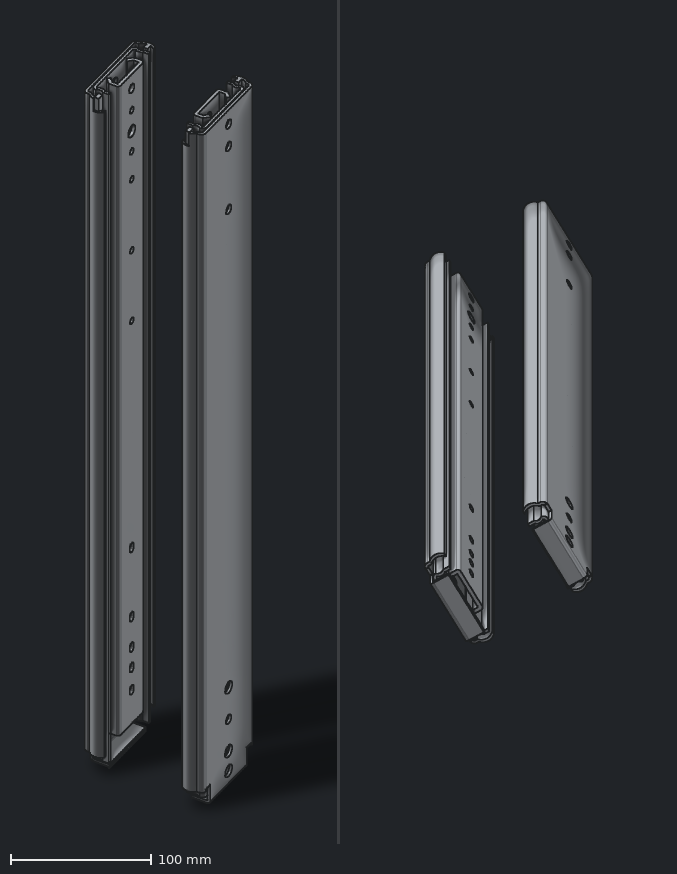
import cadquery as cq
import math

SLIDE_LENGTH = 610.0
PAIR_WIDTH = 100.0
SLIDE_HEIGHT = 76.0
SLIDE_DEPTH = 20.0
SHEET = 2.5

OUTER_FLANGE_BOTTOM = 17.0
OUTER_FLANGE_Y = 35.5
OUTER_BEND_RADIUS = 3.5
OUTER_RACE_START = 5.5
OUTER_RACE_MIDDLE = 11.5
OUTER_RACE_END = 17.5
LIP_NOTCH_START = 10.5
LIP_NOTCH_DEPTH = 11.5

STOP_WIDTH = 3.5
STOP_INNER_Y = 31.0
STOP_OUTER_Y = 36.5
STOP_HEIGHT = 14.0

TAB_WIDTH = 50.5
TAB_REACH = 16.0
TAB_BEND_RADIUS = 3.0
TAB_LIP_DROP = 1.0
TAB_LIP_LENGTH = 0.5
TAB_RELIEF_HEIGHT = 2.0

MIDDLE_BOTTOM = 7.5
MIDDLE_WEB_X = 3.0
MIDDLE_FLANGE_Y = 28.5
MIDDLE_BEND_RADIUS = 3.5
MIDDLE_TIP_X = 17.5
MIDDLE_RACE_END = 13.0
MIDDLE_RACE_DIP = 1.0
MIDDLE_NOTCH_HALF = 11.5
MIDDLE_NOTCH_TOP = 39.5

INNER_BOTTOM = 25.0
INNER_SHEET = 3.0
INNER_FACE_X = 19.5
INNER_LEG_Y = 17.5
INNER_SHOULDER = 2.5
INNER_KNEE_X = 11.0
INNER_TOE_X = 7.0
TOE_BEND = math.radians(45)

SMALL_HOLE = 5.2
MEDIUM_HOLE = 7.5
LARGE_HOLE = 10.0
TOP_HOLES = [597.0, 577.0]
OUTER_UPPER_HOLE = 520.5
MEDIUM_LOW_HOLE = 61.0
SHARED_LARGE_HOLE = 89.5
OUTER_LARGE_HOLES = [SHARED_LARGE_HOLE, 32.5, 14.5]
INNER_SMALL_HOLES = [577.5, 540.5, 515.5, 451.5, 388.0]
INNER_MEDIUM_HOLE = 597.0
INNER_SLOTS = [183.5, 121.5, 94.0, 75.5, 55.5]
INNER_SLOT_LENGTH = 8.0
INNER_LARGE_HOLE = 559.0


def symmetric_rail(half_outline, bottom):
    """Extrude the +Y half of a section from bottom to the top end and mirror it onto -Y."""
    half = half_outline.close().extrude(SLIDE_LENGTH - bottom).translate((0, 0, bottom))
    return half.union(half.mirror("XZ")).clean()


def web_holes(diameter, heights):
    """Cylinders across the whole slide depth at y = 0."""
    return (
        cq.Workplane("YZ")
        .pushPoints([(0, z) for z in heights])
        .circle(diameter / 2)
        .extrude(SLIDE_DEPTH)
    )


def web_slots(width, length, heights):
    """Upright round-ended slots across the whole slide depth at y = 0."""
    return (
        cq.Workplane("YZ")
        .pushPoints([(0, z) for z in heights])
        .slot2D(length, width, 90)
        .extrude(SLIDE_DEPTH)
    )


def box_between(low, high):
    """Axis-aligned box between two opposite corners."""
    size = [b - a for a, b in zip(low, high)]
    return cq.Workplane("XY").box(*size, centered=False).translate(low)


def end_tab():
    """Lower web extension and floor with a small drooping lip, as one bent strip."""
    floor = TAB_LIP_DROP
    top = OUTER_FLANGE_BOTTOM + TAB_RELIEF_HEIGHT
    return (
        cq.Workplane("XZ")
        .moveTo(0, top)
        .lineTo(0, floor + TAB_BEND_RADIUS)
        .radiusArc((TAB_BEND_RADIUS, floor), -TAB_BEND_RADIUS)
        .lineTo(TAB_REACH - TAB_LIP_LENGTH, floor)
        .lineTo(TAB_REACH, 0)
        .lineTo(TAB_REACH, floor + SHEET)
        .lineTo(TAB_BEND_RADIUS, floor + SHEET)
        .radiusArc((SHEET, floor + TAB_BEND_RADIUS), TAB_BEND_RADIUS - SHEET)
        .lineTo(SHEET, top)
        .close()
        .extrude(TAB_WIDTH / 2, both=True)
    )


def outer_rail():
    """Curled channel with the end tab, relieved web corners, the lip notch on -Y and the two stop blocks."""
    race_top = SLIDE_HEIGHT / 2
    inside_y = OUTER_FLANGE_Y - SHEET
    bend_y = OUTER_FLANGE_Y - OUTER_BEND_RADIUS
    half = (
        cq.Workplane("XY")
        .lineTo(0, bend_y)
        .radiusArc((OUTER_BEND_RADIUS, OUTER_FLANGE_Y), OUTER_BEND_RADIUS)
        .lineTo(OUTER_RACE_START, OUTER_FLANGE_Y)
        .threePointArc((OUTER_RACE_MIDDLE, race_top), (OUTER_RACE_END, OUTER_FLANGE_Y))
        .lineTo(OUTER_RACE_END, inside_y)
        .threePointArc((OUTER_RACE_MIDDLE, race_top - SHEET), (OUTER_RACE_START, inside_y))
        .lineTo(OUTER_BEND_RADIUS, inside_y)
        .radiusArc((SHEET, bend_y), -(OUTER_BEND_RADIUS - SHEET))
        .lineTo(SHEET, 0)
    )
    rail = symmetric_rail(half, OUTER_FLANGE_BOTTOM)
    notch = box_between(
        (LIP_NOTCH_START, -SLIDE_HEIGHT, SLIDE_LENGTH - LIP_NOTCH_DEPTH),
        (SLIDE_DEPTH, 0, SLIDE_LENGTH),
    )
    stop = box_between(
        (LIP_NOTCH_START, STOP_INNER_Y, SLIDE_LENGTH - STOP_HEIGHT),
        (LIP_NOTCH_START + STOP_WIDTH, STOP_OUTER_Y, SLIDE_LENGTH),
    )
    relief = box_between(
        (0, -bend_y, OUTER_FLANGE_BOTTOM),
        (SHEET, bend_y, OUTER_FLANGE_BOTTOM + TAB_RELIEF_HEIGHT),
    )
    rail = rail.cut(notch).cut(relief).union(end_tab()).union(stop).union(stop.mirror("XZ"))
    rail = rail.cut(web_holes(MEDIUM_HOLE, [*TOP_HOLES, OUTER_UPPER_HOLE, MEDIUM_LOW_HOLE]))
    return rail.cut(web_holes(LARGE_HOLE, OUTER_LARGE_HOLES))


def middle_rail():
    """Channel with dished flanges and a notch in the bottom of its web."""
    inside_x = MIDDLE_WEB_X + SHEET
    inside_y = MIDDLE_FLANGE_Y - SHEET
    bend_x = MIDDLE_WEB_X + MIDDLE_BEND_RADIUS
    bend_y = MIDDLE_FLANGE_Y - MIDDLE_BEND_RADIUS
    race_x = (bend_x + MIDDLE_RACE_END) / 2
    half = (
        cq.Workplane("XY")
        .moveTo(MIDDLE_WEB_X, 0)
        .lineTo(MIDDLE_WEB_X, bend_y)
        .radiusArc((bend_x, MIDDLE_FLANGE_Y), MIDDLE_BEND_RADIUS)
        .threePointArc((race_x, MIDDLE_FLANGE_Y - MIDDLE_RACE_DIP), (MIDDLE_RACE_END, MIDDLE_FLANGE_Y))
        .lineTo(MIDDLE_TIP_X, MIDDLE_FLANGE_Y)
        .lineTo(MIDDLE_TIP_X, inside_y)
        .lineTo(MIDDLE_RACE_END, inside_y)
        .threePointArc((race_x, inside_y - MIDDLE_RACE_DIP), (bend_x, inside_y))
        .radiusArc((inside_x, bend_y), -(MIDDLE_BEND_RADIUS - SHEET))
        .lineTo(inside_x, 0)
    )
    rail = symmetric_rail(half, MIDDLE_BOTTOM)
    rail = rail.cut(web_holes(MEDIUM_HOLE, [*TOP_HOLES, MEDIUM_LOW_HOLE]))
    rail = rail.cut(web_holes(LARGE_HOLE, [SHARED_LARGE_HOLE]))
    bottom_notch = box_between(
        (0, -MIDDLE_NOTCH_HALF, 0),
        (inside_x, MIDDLE_NOTCH_HALF, MIDDLE_NOTCH_TOP),
    )
    return rail.cut(bottom_notch)


def inner_rail():
    """Hat section with bent-in toes and a row of mounting holes."""
    inside_x = INNER_FACE_X - INNER_SHEET
    inside_y = INNER_LEG_Y - INNER_SHEET
    toe_y = INNER_LEG_Y - (INNER_KNEE_X - INNER_TOE_X) * math.tan(TOE_BEND)
    toe_step_x = INNER_SHEET * math.sin(TOE_BEND)
    toe_step_y = INNER_SHEET * math.cos(TOE_BEND)
    knee_shift = INNER_SHEET * math.tan(TOE_BEND / 2)
    half = (
        cq.Workplane("XY")
        .moveTo(INNER_FACE_X, 0)
        .lineTo(INNER_FACE_X, INNER_LEG_Y - INNER_SHOULDER)
        .radiusArc((INNER_FACE_X - INNER_SHOULDER, INNER_LEG_Y), -INNER_SHOULDER)
        .lineTo(INNER_KNEE_X, INNER_LEG_Y)
        .lineTo(INNER_TOE_X, toe_y)
        .lineTo(INNER_TOE_X + toe_step_x, toe_y - toe_step_y)
        .lineTo(INNER_KNEE_X + knee_shift, inside_y)
        .lineTo(inside_x, inside_y)
        .lineTo(inside_x, 0)
    )
    rail = symmetric_rail(half, INNER_BOTTOM)
    rail = rail.cut(web_holes(SMALL_HOLE, INNER_SMALL_HOLES))
    rail = rail.cut(web_holes(MEDIUM_HOLE, [INNER_MEDIUM_HOLE]))
    rail = rail.cut(web_slots(SMALL_HOLE, INNER_SLOT_LENGTH, INNER_SLOTS))
    return rail.cut(web_holes(LARGE_HOLE, [INNER_LARGE_HOLE]))


bodies = []
for rail in (outer_rail(), middle_rail(), inner_rail()):
    left = rail.translate((-PAIR_WIDTH / 2, 0, 0))
    right = left.mirror("YZ")
    bodies += [*left.solids().vals(), *right.solids().vals()]

result = cq.Compound.makeCompound(bodies)